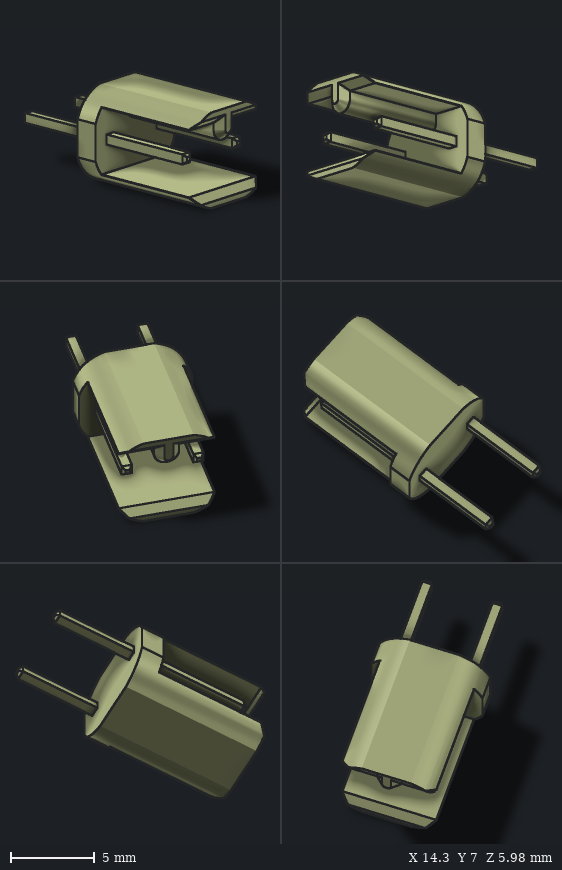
import cadquery as cq

total_length = 14.3
body_width = 7.0
body_height = 5.98

flat_top_width = 3.1
flat_side_height = 2.37
corner_radius = 2.79

base_start = 5.3
base_thickness = 1.47
wing_width = 5.93
wing_inner_z = 2.09
end_chamfer = 0.5

rib_width = 1.55
rib_fillet = 0.76
rib_bottom = 0.86

pin_size = 0.63
pin_length = 13.08
pin_pitch = 4.43
pin_tip_length = 0.21
pin_tip_inset = 0.17


def make_shell(start, length):
    """Prism along X with flat sides joined by large corner arcs."""
    y, z = body_width / 2, body_height / 2
    flat_y, flat_z = flat_top_width / 2, flat_side_height / 2
    return (
        cq.Workplane("YZ", origin=(start, 0, 0))
        .moveTo(-flat_y, z)
        .lineTo(flat_y, z)
        .radiusArc((y, flat_z), corner_radius)
        .lineTo(y, -flat_z)
        .radiusArc((flat_y, -z), corner_radius)
        .lineTo(-flat_y, -z)
        .radiusArc((-y, -flat_z), corner_radius)
        .lineTo(-y, flat_z)
        .radiusArc((-flat_y, z), corner_radius)
        .close()
        .extrude(length)
    )


def make_end_block(width, inner_z, outer_z):
    """Block between two heights, from the middle of the base plate to the free end."""
    start = base_start + base_thickness / 2
    block = cq.Workplane("XY").box(
        total_length - start, width, abs(outer_z - inner_z), centered=(False, True, False)
    )
    return block.translate((start, 0, min(inner_z, outer_z)))


def make_wings():
    """Two flat wings with chamfered free ends and a rounded rib below the upper one."""
    upper = make_end_block(wing_width, wing_inner_z, body_height).faces(">X").chamfer(end_chamfer)
    lower = make_end_block(wing_width, -wing_inner_z, -body_height).faces(">X").chamfer(end_chamfer)
    rib_block = make_end_block(rib_width, rib_bottom, body_height)
    rounded_rib = rib_block.edges("|X and <Z").fillet(rib_fillet)
    rib = rounded_rib.faces(">X").chamfer(end_chamfer)
    envelope = make_shell(base_start, total_length - base_start)
    return upper.union(lower).union(rib).intersect(envelope)


def make_pin(y):
    """Square pin with a chamfered tip at both ends."""
    return (
        cq.Workplane("XY")
        .box(pin_length, pin_size, pin_size, centered=(False, True, True))
        .faces("<X or >X")
        .chamfer(pin_tip_inset, pin_tip_length)
        .translate((0, y, 0))
    )


result = make_shell(base_start, base_thickness).union(make_wings())
for side in (-1, 1):
    result = result.union(make_pin(side * pin_pitch / 2))